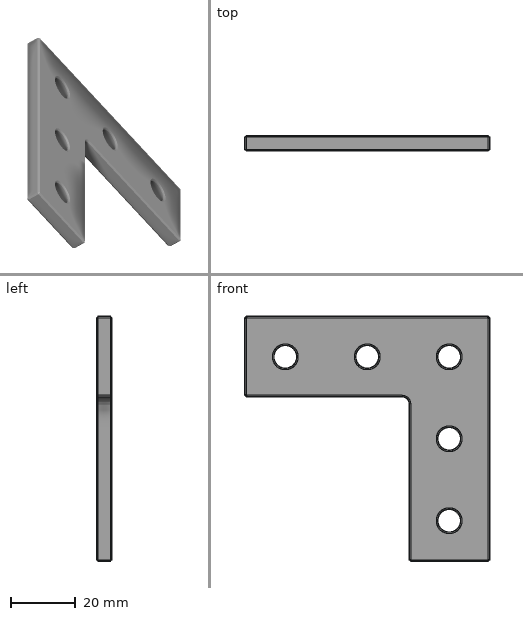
import cadquery as cq

leg_length = 76.0
leg_width = 25.0
thickness = 4.76
inner_corner_radius = 2.25
edge_chamfer = 0.5

hole_diameter = 7.0
hole_chamfer = 0.5
hole_pitch = 25.4
holes_per_leg = 3
hole_edge_distance = (leg_length - (holes_per_leg - 1) * hole_pitch) / 2

half_length = leg_length / 2
inner_corner = half_length - leg_width
corner_hole = half_length - hole_edge_distance


def make_plate():
    """L-shaped plate with a rounded inner corner and chamfers on all other edges."""
    plate = (
        cq.Workplane("XZ", origin=(0, thickness / 2, 0))
        .moveTo(-half_length, half_length)
        .lineTo(half_length, half_length)
        .lineTo(half_length, -half_length)
        .lineTo(inner_corner, -half_length)
        .lineTo(inner_corner, inner_corner)
        .lineTo(-half_length, inner_corner)
        .close()
        .extrude(thickness)
    )
    inner_edge = cq.selectors.NearestToPointSelector((inner_corner, 0, inner_corner))
    corner_edges = cq.selectors.StringSyntaxSelector("|Y")
    plate = plate.edges(corner_edges - inner_edge).chamfer(edge_chamfer)
    plate = plate.edges(inner_edge).fillet(inner_corner_radius)
    return plate.faces("<Y or >Y").edges().chamfer(edge_chamfer)


def hole_centers():
    """Hole positions in X and Z: one shared corner hole, the rest along each leg."""
    centers = [(corner_hole, corner_hole)]
    for step in range(1, holes_per_leg):
        stepped = corner_hole - step * hole_pitch
        centers.append((stepped, corner_hole))
        centers.append((corner_hole, stepped))
    return centers


def make_hole_cutter(x, z):
    """Through hole with a chamfered mouth on both faces of the plate."""
    hole_radius = hole_diameter / 2
    mouth_radius = hole_radius + hole_chamfer
    face = thickness / 2
    profile = (
        cq.Workplane("XY")
        .moveTo(0, -face)
        .lineTo(mouth_radius, -face)
        .lineTo(hole_radius, -face + hole_chamfer)
        .lineTo(hole_radius, face - hole_chamfer)
        .lineTo(mouth_radius, face)
        .lineTo(0, face)
        .close()
    )
    return profile.revolve(360, (0, 0, 0), (0, 1, 0)).translate((x, 0, z))


result = make_plate()
for center_x, center_z in hole_centers():
    result = result.cut(make_hole_cutter(center_x, center_z))